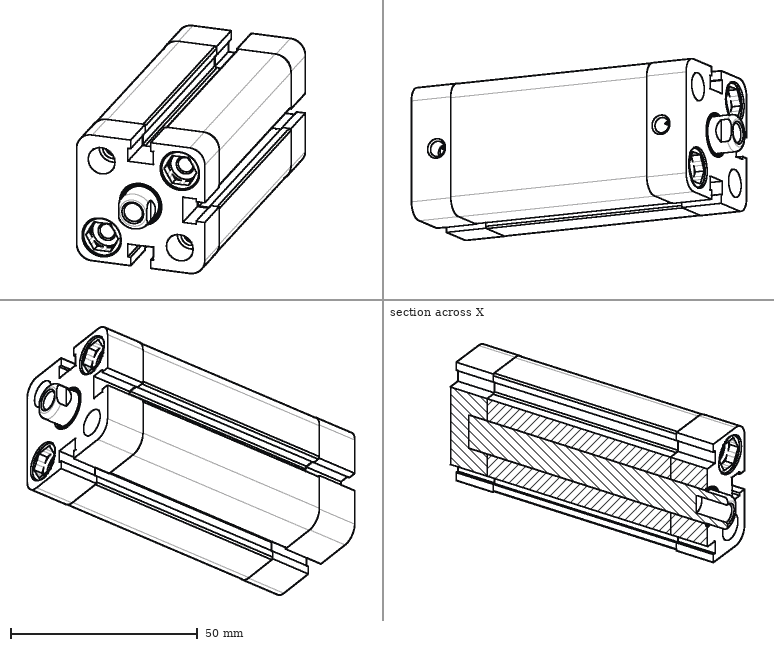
import cadquery as cq
TOTAL_LENGTH = 88.6
ROD_OVERHANG = 6.5
BODY_LENGTH = TOTAL_LENGTH - ROD_OVERHANG
SIDE = 36.3
HALF_SIDE = SIDE / 2
CAP_LENGTH = 11.8
CAP_CORNER_RADIUS = 4.3
BARREL_LENGTH = BODY_LENGTH - 2 * CAP_LENGTH
BARREL_CORNER_RADIUS = 4.6

SLOT_ANGLES = (0, 180, 90)
SLOT_DEPTH = 6.2
SLOT_OPENING = 5.7
SLOT_LIP = 2.5
CAP_SLOT_WIDTH = 7.3
BARREL_SLOT_WIDTH = 6.7
BARREL_SLOT_CHAMFER = (BARREL_SLOT_WIDTH - SLOT_OPENING) / 2

CORNER_OFFSET = 11.1
SCREW_CORNERS = ((CORNER_OFFSET, CORNER_OFFSET), (-CORNER_OFFSET, -CORNER_OFFSET))
PLAIN_CORNERS = ((-CORNER_OFFSET, CORNER_OFFSET), (CORNER_OFFSET, -CORNER_OFFSET))
THREAD_DIAMETER = 4.2
SCREW_THREAD_MOUTH_DIAMETER = 5.0
PLAIN_THREAD_MOUTH_DIAMETER = 5.5
PLAIN_BORE_DIAMETER = 7.5
PLAIN_BORE_DEPTH = 8.9
SCREW_RECESS_DIAMETER = 11.1
SCREW_RECESS_DEPTH = 0.4
SCREW_RIM_DIAMETER = 10.45
SOCKET_ACROSS_FLATS = 8.0
SOCKET_BORE_DIAMETER = 8.1
SOCKET_ANGLE = 30
SOCKET_HEX_DEPTH = 3.1
SOCKET_DEPTH = 4.3

PORT_FROM_END = 7.5
PORT_DIAMETER = 4.2
PORT_MOUTH_DIAMETER = 5.3
PORT_DEPTH = 5.3
PORT_SLIT_HEIGHT = 2.9
FRONT_SLIT_LENGTH = PORT_DIAMETER
REAR_SLIT_LENGTH = 3.2

SEAL_MOUTH_DIAMETER = 12.0
SEAL_FLOOR_OUTER_DIAMETER = 11.4
SEAL_FLOOR_INNER_DIAMETER = 11.1
SEAL_LIP_DIAMETER = 10.45
SEAL_DEPTH = 0.4

ROD_DIAMETER = 10.0
ROD_END_RADIUS = 1.2
ROD_REAR_END = BODY_LENGTH - PORT_FROM_END + REAR_SLIT_LENGTH / 2
ROD_FLAT_WIDTH = 8.0
ROD_FLAT_LENGTH = 3.1
ROD_BORE_DIAMETER = 5.2
ROD_BORE_MOUTH_DIAMETER = 6.1
ROD_BORE_DEPTH = 10.0


def cylinder(diameter, y, length, x=0.0, z=0.0):
    """Cylinder along +Y that starts at (x, y, z)."""
    return cq.Workplane(cq.Solid.makeCylinder(diameter / 2, length, cq.Vector(x, y, z), cq.Vector(0, 1, 0)))


def countersink(mouth_diameter, diameter, y, x=0.0, z=0.0):
    """45-degree cone along +Y that narrows from the mouth to the hole diameter."""
    depth = (mouth_diameter - diameter) / 2
    cone = cq.Solid.makeCone(mouth_diameter / 2, diameter / 2, depth, cq.Vector(x, y, z), cq.Vector(0, 1, 0))
    return cq.Workplane(cone)


def extrude_profile(profile, y, length):
    """Extrude a profile drawn in X-Z from y towards +Y."""
    return profile.extrude(-length).translate((0, y, 0))


def revolved(half_profile):
    """Body of revolution about Y from (radius, y) points."""
    return cq.Workplane("XY").polyline(half_profile).close().revolve(360, (0, 0, 0), (0, 1, 0))


def rounded_block(y, length, corner_radius):
    block = cq.Workplane("XY").box(SIDE, length, SIDE).edges("|Y").fillet(corner_radius)
    return block.translate((0, y + length / 2, 0))


def cut_slots(block, half_profile, y, length):
    """Cut the slot given by the +X half of its outline into each slotted side."""
    slot = extrude_profile(cq.Workplane("XZ").polyline(half_profile).close(), y, length)
    slot = slot.union(slot.mirror("YZ"))
    for angle in SLOT_ANGLES:
        block = block.cut(slot.rotate((0, 0, 0), (0, 1, 0), angle))
    return block


def cap_slot_profile():
    floor = HALF_SIDE - SLOT_DEPTH
    lip = HALF_SIDE - SLOT_LIP
    return [
        (0, floor),
        (CAP_SLOT_WIDTH / 2, floor),
        (CAP_SLOT_WIDTH / 2, lip),
        (SLOT_OPENING / 2, lip),
        (SLOT_OPENING / 2, HALF_SIDE),
        (0, HALF_SIDE),
    ]


def barrel_slot_profile():
    """Like the cap slot, but narrower, with chamfered floor corners and mouth."""
    floor = HALF_SIDE - SLOT_DEPTH
    lip = HALF_SIDE - SLOT_LIP
    chamfer = BARREL_SLOT_CHAMFER
    return [
        (0, floor),
        (BARREL_SLOT_WIDTH / 2 - chamfer, floor),
        (BARREL_SLOT_WIDTH / 2, floor + chamfer),
        (BARREL_SLOT_WIDTH / 2, lip),
        (SLOT_OPENING / 2, lip),
        (SLOT_OPENING / 2, HALF_SIDE - chamfer),
        (BARREL_SLOT_WIDTH / 2, HALF_SIDE),
        (0, HALF_SIDE),
    ]


def port(y, slit_length):
    """Port from the -X side, with a slit in its floor that opens onto the rod."""
    direction = cq.Vector(1, 0, 0)
    start = cq.Vector(-HALF_SIDE, y, 0)
    mouth_depth = (PORT_MOUTH_DIAMETER - PORT_DIAMETER) / 2
    hole = cq.Workplane(cq.Solid.makeCylinder(PORT_DIAMETER / 2, PORT_DEPTH, start, direction))
    mouth = cq.Solid.makeCone(PORT_MOUTH_DIAMETER / 2, PORT_DIAMETER / 2, mouth_depth, start, direction)
    slit = cq.Workplane("XY").box(HALF_SIDE, slit_length, PORT_SLIT_HEIGHT)
    slit = slit.translate((-HALF_SIDE / 2, y, 0))
    through = cq.Workplane(cq.Solid.makeCylinder(PORT_DIAMETER / 2, HALF_SIDE, start, direction))
    return hole.union(cq.Workplane(mouth)).union(slit.intersect(through))


def thread_hole(x, z, y, mouth_diameter):
    """Countersunk hole from depth y to the inner face of the front cap."""
    hole = cylinder(THREAD_DIAMETER, y, CAP_LENGTH - y, x, z)
    return hole.union(countersink(mouth_diameter, THREAD_DIAMETER, y, x, z))


def plain_corner(x, z):
    bore = cylinder(PLAIN_BORE_DIAMETER, 0, PLAIN_BORE_DEPTH, x, z)
    return bore.union(thread_hole(x, z, PLAIN_BORE_DEPTH, PLAIN_THREAD_MOUTH_DIAMETER))


def screw_corner(x, z):
    """Shallow round recess with a bevelled rim, a hexagon socket and a threaded hole."""
    rim = SCREW_RIM_DIAMETER / 2
    wall = SCREW_RECESS_DIAMETER / 2
    bevel_end = SCREW_RECESS_DEPTH + wall - rim
    recess = revolved([
        (0, 0),
        (wall, 0),
        (wall, bevel_end),
        (rim, SCREW_RECESS_DEPTH),
        (0, SCREW_RECESS_DEPTH),
    ]).translate((x, 0, z))
    hexagon = cq.Workplane("XZ").polygon(6, SOCKET_ACROSS_FLATS, circumscribed=True)
    socket = extrude_profile(hexagon, 0, SOCKET_HEX_DEPTH)
    socket = socket.rotate((0, 0, 0), (0, 1, 0), SOCKET_ANGLE).translate((x, 0, z))
    socket = socket.union(cylinder(SOCKET_BORE_DIAMETER, 0, SOCKET_DEPTH, x, z))
    return recess.union(socket).union(thread_hole(x, z, SOCKET_DEPTH, SCREW_THREAD_MOUTH_DIAMETER))


def seal_groove():
    """Groove around the rod, with a tapered lip and a small gap inside the lip."""
    groove = revolved([
        (SEAL_MOUTH_DIAMETER / 2, 0),
        (SEAL_FLOOR_OUTER_DIAMETER / 2, SEAL_DEPTH),
        (SEAL_FLOOR_INNER_DIAMETER / 2, SEAL_DEPTH),
        (SEAL_LIP_DIAMETER / 2, 0),
    ])
    return groove.union(cylinder(SEAL_LIP_DIAMETER, 0, SEAL_DEPTH))


def make_cap(y, port_y, slit_length):
    cap = rounded_block(y, CAP_LENGTH, CAP_CORNER_RADIUS)
    cap = cut_slots(cap, cap_slot_profile(), y, CAP_LENGTH)
    cap = cap.cut(port(port_y, slit_length))
    return cap.cut(cylinder(ROD_DIAMETER, 0, ROD_REAR_END))


def make_front_cap():
    cap = make_cap(0, PORT_FROM_END, FRONT_SLIT_LENGTH)
    for x, z in PLAIN_CORNERS:
        cap = cap.cut(plain_corner(x, z))
    for x, z in SCREW_CORNERS:
        cap = cap.cut(screw_corner(x, z))
    return cap.cut(seal_groove())


def make_rear_cap():
    return make_cap(BODY_LENGTH - CAP_LENGTH, BODY_LENGTH - PORT_FROM_END, REAR_SLIT_LENGTH)


def make_barrel():
    barrel = rounded_block(CAP_LENGTH, BARREL_LENGTH, BARREL_CORNER_RADIUS)
    barrel = cut_slots(barrel, barrel_slot_profile(), CAP_LENGTH, BARREL_LENGTH)
    return barrel.cut(cylinder(ROD_DIAMETER, 0, ROD_REAR_END))


def make_rod():
    rod = cylinder(ROD_DIAMETER, -ROD_OVERHANG, ROD_OVERHANG + ROD_REAR_END)
    rod = rod.faces("<Y").edges().fillet(ROD_END_RADIUS)
    half_flat = ROD_FLAT_WIDTH / 2
    rod_radius = ROD_DIAMETER / 2
    flat_end = ROD_FLAT_LENGTH - ROD_OVERHANG
    step = rod_radius - half_flat
    flat = (
        cq.Workplane("XY")
        .polyline([(half_flat, -ROD_OVERHANG), (half_flat, flat_end), (rod_radius, flat_end + step),
                   (rod_radius, -ROD_OVERHANG)])
        .close().extrude(ROD_DIAMETER / 2, both=True)
    )
    rod = rod.cut(flat).cut(flat.mirror("YZ"))
    rod = rod.cut(cylinder(ROD_BORE_DIAMETER, -ROD_OVERHANG, ROD_BORE_DEPTH))
    return rod.cut(countersink(ROD_BORE_MOUTH_DIAMETER, ROD_BORE_DIAMETER, -ROD_OVERHANG))


front_cap = make_front_cap()
rear_cap = make_rear_cap()
barrel = make_barrel()
rod = make_rod()

result = cq.Compound.makeCompound([front_cap.val(), rear_cap.val(), barrel.val(), rod.val()])